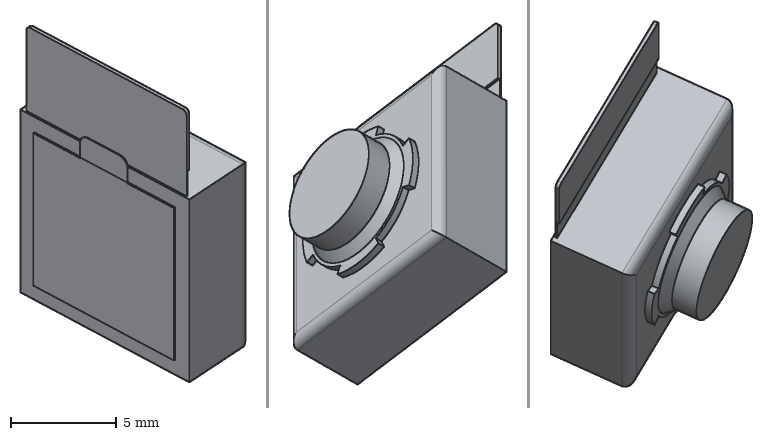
import cadquery as cq
import math


housing_side = 10.8
housing_depth = 4.32
housing_fillet = 0.5

flange_depth = 0.36
flange_radius = 3.51
lobe_radius = 3.99
lobe_half_angle = 21.8
lobe_count = 4

cone_depth = 0.5
cone_base_radius = 3.32
barrel_radius = 2.88
barrel_depth = 1.31

cable_width = 10.25
cable_length = 15.82 - housing_side
cable_thickness = 0.1
cable_inset = 0.11
cable_corner_radius = 0.25
stiffener_length = 3.56
stiffener_thickness = 0.11

pad_side = 9.0
pad_thickness = 0.1
tab_width = 3.04
tab_overhang = 0.5
tab_corner_radius = 0.5
tab_thickness = 0.05

housing_top = housing_side / 2
cable_top = housing_top + cable_length


def block(width, y_start, y_end, z_bottom, z_top):
    """Box centred on X between the given Y and Z limits."""
    return cq.Workplane("XY").box(
        width, y_end - y_start, z_top - z_bottom, centered=(True, False, False)
    ).translate((0, y_start, z_bottom))


def disc(radius, y_start, depth):
    """Cylinder on the lens axis, extending towards +Y."""
    return cq.Workplane("XZ", origin=(0, y_start, 0)).circle(radius).extrude(-depth)


def make_lobe(angle):
    """Sector of the lobe disc with radial sides, centred on the given angle."""
    reach = 2 * lobe_radius
    half_width = reach * math.tan(math.radians(lobe_half_angle))
    wedge = (
        cq.Workplane("XZ", origin=(0, housing_depth, 0))
        .polyline([(0, 0), (reach, -half_width), (reach, half_width)])
        .close()
        .extrude(-flange_depth)
        .rotate((0, 0, 0), (0, 1, 0), angle)
    )
    return disc(lobe_radius, housing_depth, flange_depth).intersect(wedge)


def make_flange():
    flange = disc(flange_radius, housing_depth, flange_depth)
    for index in range(lobe_count):
        flange = flange.union(make_lobe(index * 360 / lobe_count))
    return flange


def make_barrel():
    cone_start = housing_depth + flange_depth
    cone_end = cone_start + cone_depth
    profile = (
        cq.Workplane("XY")
        .moveTo(0, cone_start)
        .lineTo(cone_base_radius, cone_start)
        .lineTo(barrel_radius, cone_end)
        .lineTo(barrel_radius, cone_end + barrel_depth)
        .lineTo(0, cone_end + barrel_depth)
        .close()
    )
    return profile.revolve(360, (0, 0, 0), (0, 1, 0))


def make_camera():
    housing = block(housing_side, 0, housing_depth, -housing_top, housing_top)
    housing = housing.faces(">Y").edges().fillet(housing_fillet)
    return housing.union(make_flange()).union(make_barrel())


def make_cable():
    """Cable standing on top of the housing, stiffener on its +Y face."""
    stiffener_start = cable_inset + cable_thickness
    stiffener_end = stiffener_start + stiffener_thickness
    cable = block(cable_width, cable_inset, stiffener_start, housing_top, cable_top)
    stiffener = block(
        cable_width, cable_inset, stiffener_end, cable_top - stiffener_length, cable_top
    )
    top_corners = cq.selectors.BoxSelector(
        (-cable_width, cable_inset, cable_top - cable_corner_radius),
        (cable_width, stiffener_end, cable_top + cable_corner_radius),
    )
    return cable.union(stiffener).edges("|Y").edges(top_corners).fillet(cable_corner_radius)


def make_adhesive():
    """Pad on the housing's back face; the tab is flush with the pad's outer face."""
    pad = block(pad_side, -pad_thickness, 0, -pad_side / 2, pad_side / 2)
    tab = block(
        tab_width,
        -pad_thickness,
        tab_thickness - pad_thickness,
        0,
        housing_top + tab_overhang,
    )
    tab = tab.faces(">Z").edges("|Y").fillet(tab_corner_radius)
    return pad.union(tab)


camera = make_camera()
cable = make_cable()
adhesive = make_adhesive()

result = cq.Compound.makeCompound([camera.val(), cable.val(), adhesive.val()])